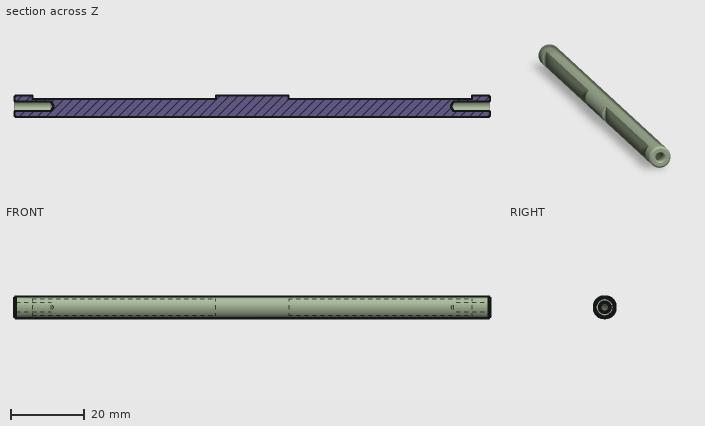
import cadquery as cq
import math

shaft_length = 130.0
shaft_diameter = 6.0
end_chamfer = 0.5

flat_length = 50.0
flat_depth = 1.0
flat_end_margin = 5.0

bore_diameter = 2.5
bore_depth = 10.0
mouth_chamfer = 0.3
drill_point_angle = 118.0

shaft_radius = shaft_diameter / 2
half_length = shaft_length / 2
flat_center_x = half_length - flat_end_margin - flat_length / 2


def make_shaft():
    """Round bar with both end edges chamfered."""
    bar = cq.Workplane("YZ").circle(shaft_radius).extrude(half_length, both=True)
    return bar.faces("<X or >X").chamfer(end_chamfer)


def make_flat_cutter(center_x):
    """Block that removes the +Y side of the shaft down to the flat."""
    cutter_width = 2 * flat_depth
    block = cq.Workplane("XY").box(flat_length, cutter_width, shaft_diameter)
    return block.translate((center_x, shaft_radius, 0))


def make_left_hole():
    """Hole entering the -X end, revolved about the shaft axis; its mouth has a 45 degree chamfer."""
    bore_radius = bore_diameter / 2
    point_length = bore_radius / math.tan(math.radians(drill_point_angle / 2))
    bore_end_x = -half_length + bore_depth
    profile = (
        cq.Workplane("XZ")
        .moveTo(-half_length, 0)
        .lineTo(-half_length, -(bore_radius + mouth_chamfer))
        .lineTo(-half_length + mouth_chamfer, -bore_radius)
        .lineTo(bore_end_x, -bore_radius)
        .lineTo(bore_end_x + point_length, 0)
        .close()
    )
    return profile.revolve(360, (0, 0, 0), (1, 0, 0))


result = make_shaft()

for side in (-1, 1):
    result = result.cut(make_flat_cutter(side * flat_center_x))

left_hole = make_left_hole()
result = result.cut(left_hole).cut(left_hole.mirror("YZ"))